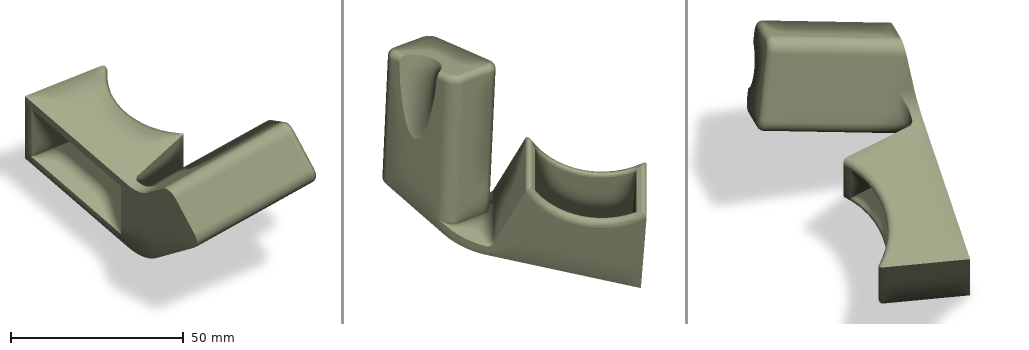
import cadquery as cq
import math

cradle_width = 46.25
cradle_height = 26.0
wall = 3.0
side_slope = 0.2
saddle_radius = 23.6
saddle_bottom = 19.0
saddle_rim_radius = 1.9
saddle_tip_radius = 1.1
inner_rim_radius = 0.85
blank_depth = 34.25

arm_angle = 46.7
arm_thickness = 19.5
upper_bend_radius = 12.2
arm_plate_depth = 3.0
root_radius = 2.0

pad_width = 29.2
pad_lean = 18.0
pad_end = 73.8
pad_corner_y = 47.2
corner_radius = 4.0
rim_radius = 2.0

scoop_radius = 8.05
scoop_depth = 6.0
scoop_tilt = 15.0
scoop_length = 51.4

cos_arm = math.cos(math.radians(arm_angle))
sin_arm = math.sin(math.radians(arm_angle))
cos_lean = math.cos(math.radians(pad_lean))
sin_lean = math.sin(math.radians(pad_lean))
tan_lean = sin_lean / cos_lean

upper_line = (cos_arm * (cradle_height + upper_bend_radius)
              - sin_arm * cradle_width - upper_bend_radius)
lower_line = upper_line - arm_thickness
lower_bend_radius = (-lower_line - sin_arm * cradle_width) / (1 - cos_arm)


def arm_point(along, across):
    """X, Z of a point given along and across the arm direction."""
    return (along * cos_arm - across * sin_arm, along * sin_arm + across * cos_arm)


def bend_point(start_z, radius, fraction):
    """X, Z on a bend that starts level at the end of the cradle."""
    angle = math.radians(arm_angle * fraction)
    return (cradle_width + radius * math.sin(angle), start_z + radius * (1 - math.cos(angle)))


def tapered_block(inset, z_bottom, z_top):
    shift = side_slope * blank_depth
    outline = [
        (inset, 0),
        (cradle_width - inset, 0),
        (cradle_width - inset - shift, blank_depth),
        (inset + shift, blank_depth),
    ]
    return cq.Workplane("XY").workplane(offset=z_bottom).polyline(outline).close().extrude(z_top - z_bottom)


def edges_in_box(body, z_inset):
    """Edges centred near the saddle and at least z_inset inside the bottom and top faces."""
    return body.edges(cq.selectors.BoxSelector(
        (0, saddle_bottom - 0.85, z_inset),
        (cradle_width, saddle_bottom + saddle_radius / 2, cradle_height - z_inset)))


def make_cradle():
    saddle = (cq.Workplane("XY")
              .center(cradle_width / 2, saddle_bottom + saddle_radius)
              .circle(saddle_radius)
              .extrude(cradle_height))
    clipped_depth = saddle_bottom + saddle_radius / 2
    clip = cq.Workplane("XY").box(cradle_width, clipped_depth, cradle_height, centered=False)
    body = tapered_block(0, 0, cradle_height).cut(saddle).intersect(clip)
    body = edges_in_box(body, wall).edges("|Z").fillet(saddle_tip_radius)
    rim_block = (cq.Workplane("XY")
                 .rect(3 * cradle_width, 2 * blank_depth)
                 .extrude(cradle_height)
                 .cut(saddle)
                 .edges("%CIRCLE").fillet(saddle_rim_radius))
    body = body.intersect(rim_block)
    body = body.cut(tapered_block(wall, wall, cradle_height - wall))
    between_rims = (wall + saddle_rim_radius) / 2
    return edges_in_box(body, between_rims).edges("%CIRCLE").fillet(inner_rim_radius)


def arm_outline(depth):
    """The bent arm shape, extruded from Y = 0 to the given depth."""
    tip = pad_end - pad_width / 2
    return (cq.Workplane("XZ")
            .moveTo(cradle_width - wall, 0)
            .lineTo(cradle_width, 0)
            .threePointArc(bend_point(0, lower_bend_radius, 0.5), bend_point(0, lower_bend_radius, 1))
            .lineTo(*arm_point(tip, lower_line))
            .lineTo(*arm_point(tip, upper_line))
            .lineTo(*bend_point(cradle_height, upper_bend_radius, 1))
            .threePointArc(bend_point(cradle_height, upper_bend_radius, 0.5),
                           (cradle_width, cradle_height))
            .lineTo(cradle_width - wall, cradle_height)
            .close()
            .extrude(-depth))


def root_fillet(plane, lean, length):
    """Concave strip in a corner: local x leaves the wall, local y climbs it, lean tips the wall back."""
    run = root_radius * math.tan(math.pi / 4 - lean / 2)
    reach = math.hypot(run, root_radius)
    inward = 1 - root_radius / reach
    return (cq.Workplane(plane)
            .moveTo(0, 0)
            .lineTo(run, 0)
            .threePointArc((run * inward, root_radius * inward),
                           (-run * math.sin(lean), run * math.cos(lean)))
            .close()
            .extrude(length))


def make_arm():
    pad_start = pad_end - pad_width / cos_lean
    bend_x, bend_z = arm_point(pad_start, upper_line)
    along_pad = cq.Plane(origin=(bend_x, arm_plate_depth, bend_z),
                         xDir=(-sin_arm, 0, cos_arm), normal=(-cos_arm, 0, -sin_arm))
    pad_strip = root_fillet(along_pad, 0, -pad_width)
    wall_x = cradle_width - side_slope * arm_plate_depth
    along_wall = cq.Plane(origin=(wall_x, arm_plate_depth, 0), xDir=(1, 0, 0), normal=(0, 0, 1))
    wall_strip = root_fillet(along_wall, math.atan(side_slope), cradle_height)
    envelope = arm_outline(arm_plate_depth + root_radius)
    strips = pad_strip.union(wall_strip).intersect(envelope)
    return arm_outline(arm_plate_depth).union(strips)


def make_pad():
    end_y = pad_corner_y - pad_width / 2 * sin_lean
    end_along = pad_end - pad_width / 2 / cos_lean + end_y * tan_lean
    end_x, end_z = arm_point(end_along, (upper_line + lower_line) / 2)
    pad_axis = cq.Vector(sin_lean * cos_arm, cos_lean, sin_lean * sin_arm)
    pad_side = cq.Vector(cos_lean * cos_arm, -sin_lean, cos_lean * sin_arm)
    end_plane = cq.Plane(origin=(end_x, end_y, end_z), xDir=pad_side, normal=pad_axis)
    length = (pad_corner_y + pad_width) / cos_lean
    pad = (cq.Workplane(end_plane)
           .rect(pad_width, arm_thickness)
           .extrude(-length)
           .edges(cq.selectors.ParallelDirSelector(pad_axis)).fillet(corner_radius)
           .faces(cq.selectors.DirectionMinMaxSelector(pad_axis, True)).edges().fillet(rim_radius))
    scoop_center = (arm_thickness / 2 - scoop_depth + scoop_radius)
    scoop_plane = cq.Plane(
        origin=end_plane.toWorldCoords((0, scoop_center, 0)), xDir=pad_side,
        normal=pad_axis).rotated((scoop_tilt, 0, 0))
    scoop = cq.Workplane(scoop_plane).circle(scoop_radius).extrude(scoop_length / 2, both=True)
    pad = pad.cut(scoop)
    front_trim = cq.Workplane("XZ").rect(8 * pad_width, 8 * pad_width).extrude(2 * length)
    return pad.cut(front_trim)


result = make_cradle().union(make_arm()).union(make_pad())